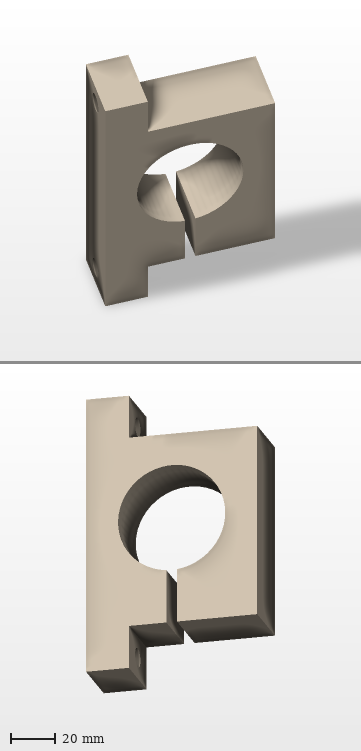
import cadquery as cq

width = 30.0
depth = 80.0
height = 130.0

flange_thickness = 20.0
body_height = 90.0

bore_diameter = 50.0
bore_center_z = 5.0
slot_width = 5.0

hole_diameter = 9.0
hole_spacing = 110.0

front_y = -depth / 2

flange = cq.Workplane("XY").box(width, flange_thickness, height)
flange = flange.translate((0, front_y + flange_thickness / 2, 0))
body = cq.Workplane("XY").box(width, depth, body_height)
bracket = flange.union(body)

bore = (
    cq.Workplane("YZ")
    .center(0, bore_center_z)
    .circle(bore_diameter / 2)
    .extrude(width / 2, both=True)
)

slot_height = bore_center_z + body_height / 2
slot = cq.Workplane("XY").box(width, slot_width, slot_height)
slot = slot.translate((0, 0, bore_center_z - slot_height / 2))

holes = (
    cq.Workplane("XZ", origin=(0, front_y, 0))
    .pushPoints([(0, side * hole_spacing / 2) for side in (-1, 1)])
    .circle(hole_diameter / 2)
    .extrude(-flange_thickness)
)

result = bracket.cut(bore).cut(slot).cut(holes)